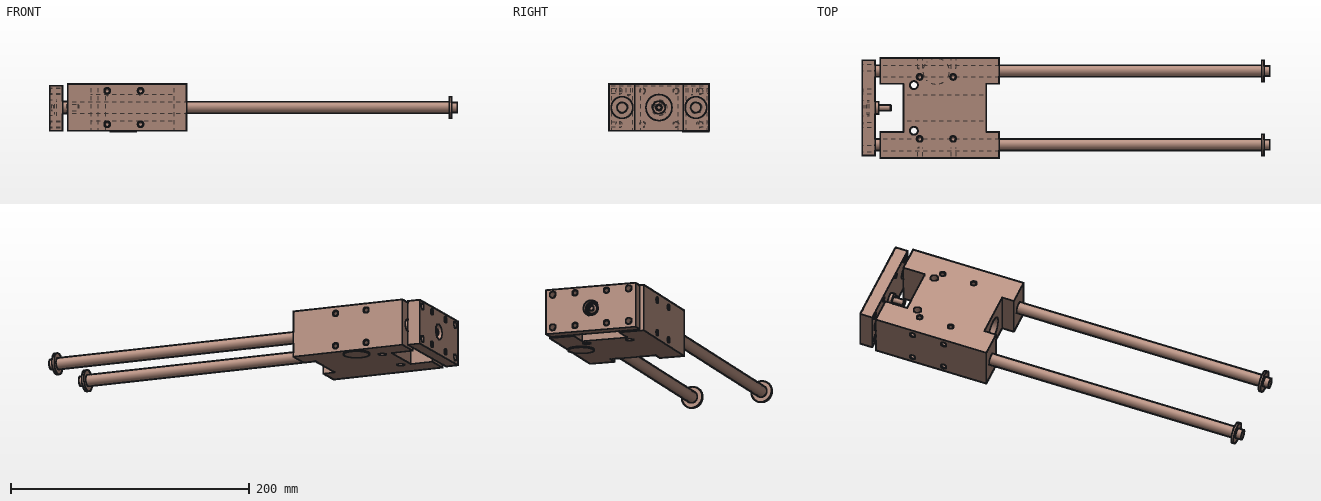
import cadquery as cq
import math

housing_left = 15.0
housing_length = 100.0
housing_width = 84.0
housing_bottom = 1.0
housing_top = 40.5
pocket_width = 40.5
front_pocket_depth = 19.5
rear_pocket_depth = 10.5
bore_diameter = 22.0

mid_height = 20.5
hole_pitch = 28.0
first_hole_x = 48.2
thread_diameter = 5.0
core_diameter = 4.0
mouth_chamfer = (thread_diameter - core_diameter) / 2
blind_hole_depth = 8.5
drill_tip_angle = 118
top_hole_y = 26.0
through_hole_diameter = 6.5
through_hole_x = 43.5
through_hole_y = 19.0

disc_diameter = 22.0
disc_x = 62.0

plate_thickness = 11.0
plate_width = 80.0
plate_height = 38.0
corner_hole_diameter = 5.5
corner_hole_y = 34.0

rod_pitch = 62.0
rod_diameter = 10.0
rod_shoulder_x = 337.2
rod_end_diameter = 8.5
rod_end_x = 342.0
washer_diameter = 18.0
washer_thickness = 2.0

recess_diameter = 13.0
recess_depth = 5.5
flange_diameter = 10.5
head_thickness = 1.7
cone_base_diameter = 8.5
cone_tip_diameter = 4.8
cone_height = 2.5
socket_diameter = 4.0
socket_depth = 1.7
flange_thickness = 3.0
stud_diameter = 5.0
stud_length = 10.3
stud_chamfer = 0.7

rod_ys = [-rod_pitch / 2, rod_pitch / 2]
hole_xs = [first_hole_x, first_hole_x + hole_pitch]
hole_zs = [mid_height - hole_pitch / 2, mid_height + hole_pitch / 2]


def box(x_min, x_max, width, z_min, z_max):
    """Box that is centred on Y."""
    return cq.Workplane("XY").box(
        x_max - x_min, width, z_max - z_min, centered=(False, True, False)
    ).translate((x_min, 0, z_min))


def x_cylinder(diameter, x_min, x_max, y=0.0, z=mid_height):
    """Cylinder along X."""
    return cq.Workplane("YZ", origin=(x_min, y, z)).circle(diameter / 2).extrude(x_max - x_min)


def chamfered_mouth(point, inwards):
    """Tool for the chamfer that narrows a thread mouth to its core hole."""
    return cq.Solid.makeCone(
        thread_diameter / 2, core_diameter / 2, mouth_chamfer, cq.Vector(*point), cq.Vector(*inwards)
    )


def blind_hole(point, inwards):
    """Tool for a drilled hole with a chamfered mouth and a conical bottom."""
    radius = core_diameter / 2
    start = cq.Vector(*point)
    axis = cq.Vector(*inwards)
    shank = cq.Solid.makeCylinder(radius, blind_hole_depth, start, axis)
    tip_length = radius / math.tan(math.radians(drill_tip_angle / 2))
    tip = cq.Solid.makeCone(radius, 0, tip_length, start + axis * blind_hole_depth, axis)
    return cq.Workplane(obj=shank.fuse(tip, chamfered_mouth(point, inwards)))


def make_housing():
    """Block with a pocket at each end, guide holes, mounting holes and a low disc underneath."""
    right = housing_left + housing_length
    front_wall = housing_left + front_pocket_depth
    rear_wall = right - rear_pocket_depth
    body = box(housing_left, right, housing_width, housing_bottom, housing_top)
    body = body.cut(box(housing_left, front_wall, pocket_width, housing_bottom, housing_top))
    body = body.cut(box(rear_wall, right, pocket_width, housing_bottom, housing_top))

    body = body.cut(x_cylinder(bore_diameter, front_wall, rear_wall))

    for y in rod_ys:
        body = body.cut(x_cylinder(rod_diameter, housing_left, right, y))

    for y in (-through_hole_y, through_hole_y):
        hole = cq.Workplane("XY", origin=(through_hole_x, y, 0))
        body = body.cut(hole.circle(through_hole_diameter / 2).extrude(housing_top))

    for x in hole_xs:
        for side in (-1, 1):
            body = body.cut(blind_hole((x, side * top_hole_y, housing_top), (0, 0, -1)))
            for z in hole_zs:
                body = body.cut(blind_hole((x, side * housing_width / 2, z), (0, -side, 0)))

    disc = cq.Workplane("XY", origin=(disc_x, rod_ys[1], 0))
    return body.union(disc.circle(disc_diameter / 2).extrude(housing_bottom))


def make_rod(y):
    """Guide rod with a washer against the shoulder of its thinner end."""
    rod = x_cylinder(rod_diameter, plate_thickness, rod_shoulder_x, y)
    rod = rod.union(x_cylinder(rod_end_diameter, rod_shoulder_x, rod_end_x, y))
    return rod.union(x_cylinder(washer_diameter, rod_shoulder_x - washer_thickness, rod_shoulder_x, y))


def make_plate():
    """End plate with through holes and a round recess in its outer face."""
    plate = box(0, plate_thickness, plate_width, housing_bottom, housing_bottom + plate_height)
    for side in (-1, 1):
        for z in hole_zs:
            plate = plate.cut(x_cylinder(corner_hole_diameter, 0, plate_thickness, side * corner_hole_y, z))
            inner_y = side * hole_pitch / 2
            plate = plate.cut(x_cylinder(core_diameter, 0, plate_thickness, inner_y, z))
            plate = plate.cut(cq.Workplane(obj=chamfered_mouth((0, inner_y, z), (1, 0, 0))))
    return plate.cut(x_cylinder(recess_diameter, 0, recess_depth))


def make_stud():
    """Stud with a flange behind the plate and a cone-shaped head in the recess of the plate."""
    flange_end = plate_thickness + flange_thickness
    thread = x_cylinder(stud_diameter, flange_end, flange_end + stud_length)
    thread = thread.faces(">X").chamfer(stud_chamfer)
    flange = x_cylinder(flange_diameter, plate_thickness, flange_end)
    return thread.union(flange)


def make_head():
    """Head on the recess floor: a low disc, a cone on it and a round socket in its tip."""
    cone_base_x = recess_depth - head_thickness
    tip_x = cone_base_x - cone_height
    disc = x_cylinder(flange_diameter, cone_base_x, recess_depth)
    cone = cq.Solid.makeCone(
        cone_base_diameter / 2, cone_tip_diameter / 2, cone_height,
        cq.Vector(cone_base_x, 0, mid_height), cq.Vector(-1, 0, 0),
    )
    head = disc.union(cq.Workplane(obj=cone))
    return head.cut(x_cylinder(socket_diameter, tip_x, tip_x + socket_depth))


def make_slide():
    """End plate, both rods with their washers, and the coupling stud as one solid."""
    slide = make_plate().union(make_stud()).union(make_head())
    for y in rod_ys:
        slide = slide.union(make_rod(y))
    return slide


housing = make_housing()
slide = make_slide()
result = cq.Compound.makeCompound([housing.val(), slide.val()])